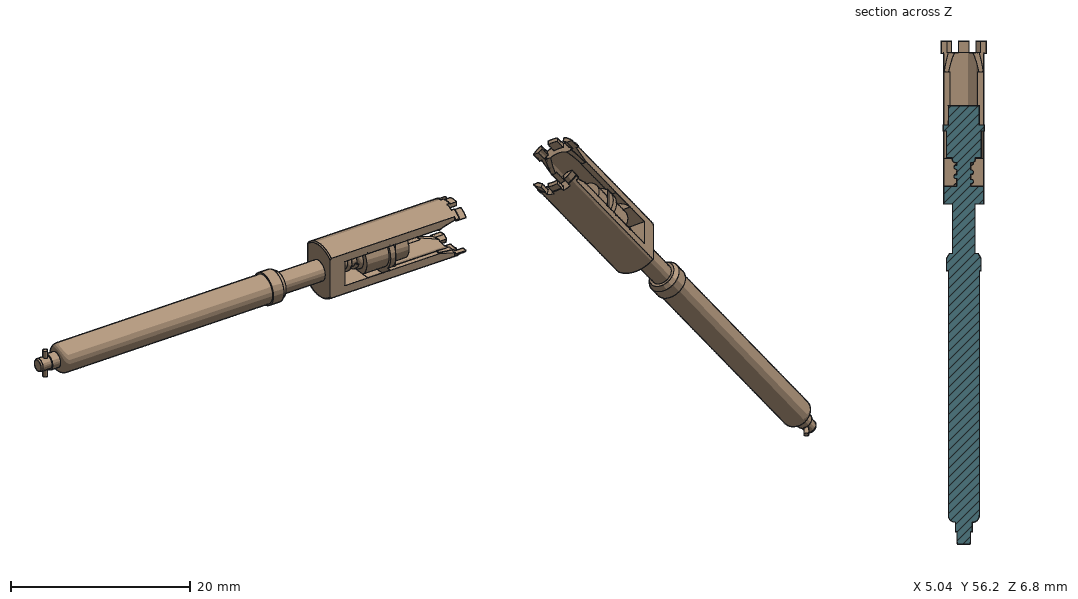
import cadquery as cq

OVERALL_LENGTH = 56.2

TIP_RADIUS = 0.78
TIP_CHAMFER_LENGTH = 0.22
TIP_CHAMFER_DEPTH = 0.1
CROSS_PIN_RADIUS = 0.28
CROSS_PIN_LENGTH = 3.3
CROSS_PIN_Y = 1.02
NECK_RADIUS = 0.95
NECK_START_Y = 1.4

BARREL_RADIUS = 1.76
BARREL_START_Y = 2.45
BARREL_END_ROUND = 0.8
COLLAR_RADIUS = 1.95
COLLAR_START_Y = 30.55
COLLAR_END_Y = 32.5
COLLAR_CHAMFER_LENGTH = 0.55
COLLAR_CHAMFER_DEPTH = 0.35
ROD_RADIUS = 1.27

FORK_RADIUS = 3.4
FORK_WIDTH = 4.5
FORK_START_Y = 38.0
FORK_END_Y = 54.9
FORK_CHAMFER = 0.15
SLOT_HEIGHT = 3.1
SLOT_START_Y = 40.0

FLARE_START_Y = 52.75
FLARE_END_Y = 54.9
CROWN_GAP = 4.2
SLEEVE_RADIUS = 2.6
SLEEVE_BORE_RADIUS = 2.2
SLEEVE_LIP = 0.15

CROWN_WIDTH = 5.04
CROWN_START_Y = 54.8
CROWN_STEP_Y = 55.3
CROWN_TIP_RADIUS = 3.3
CROWN_BORE_RADIUS = 2.8
CENTRE_CLAW_WIDTH = 1.2
NOTCH_INNER_WIDTH = 0.65
NOTCH_OUTER_WIDTH = 1.0

PLUNGER_FRONT_RADIUS = 1.75
PLUNGER_FRONT_END_Y = 49.0
WEB_WIDTH = 2 * PLUNGER_FRONT_RADIUS
WEB_START_Y = 46.85
WEB_END_Y = 47.17
FLANGE_RADIUS = 2.3
FLANGE_START_Y = 46.15
PLUNGER_RADIUS = 1.97
PLUNGER_START_Y = 43.15
PLUNGER_BOSS_RADIUS = 1.3
PLUNGER_BOSS_START_Y = 42.6
PLUNGER_BOSS_ROUND = 0.4
SPRING_CHAMBER_RADIUS = 2.7
SPRING_CHAMBER_START_Y = 43.1

SPRING_CORE_RADIUS = 0.8
SPRING_WIRE_RADIUS = 0.25
SPRING_COIL_RADIUS = 0.86
SPRING_PITCH = 1.05


def cylinder(radius, start, end):
    """Cylinder on the Y axis from start to end."""
    return cq.Workplane("XZ", origin=(0, start, 0)).circle(radius).extrude(start - end)


def box(width, start, end, height):
    """Box spanning start to end in Y, centred on the Y axis."""
    middle = (start + end) / 2
    return cq.Workplane("XY", origin=(0, middle, 0)).box(width, end - start, height)


def make_tip():
    tip = cylinder(TIP_RADIUS, 0, NECK_START_Y)
    tip = tip.faces("<Y").chamfer(TIP_CHAMFER_LENGTH, TIP_CHAMFER_DEPTH)
    pin = cq.Workplane("XY", origin=(0, CROSS_PIN_Y, 0)).circle(CROSS_PIN_RADIUS)
    pin = pin.extrude(CROSS_PIN_LENGTH / 2, both=True)
    neck = cylinder(NECK_RADIUS, NECK_START_Y, BARREL_START_Y)
    return tip.union(pin).union(neck)


def make_barrel():
    barrel = cylinder(BARREL_RADIUS, BARREL_START_Y, COLLAR_START_Y)
    barrel = barrel.faces("<Y").edges().fillet(BARREL_END_ROUND)
    collar = cylinder(COLLAR_RADIUS, COLLAR_START_Y, COLLAR_END_Y)
    collar = collar.faces(">Y").chamfer(COLLAR_CHAMFER_LENGTH, COLLAR_CHAMFER_DEPTH)
    rod = cylinder(ROD_RADIUS, COLLAR_END_Y, FORK_START_Y)
    return barrel.union(collar).union(rod)


def make_fork():
    bar = cylinder(FORK_RADIUS, FORK_START_Y, FORK_END_Y).faces("<Y").chamfer(FORK_CHAMFER)
    bar = bar.intersect(box(FORK_WIDTH, FORK_START_Y, FORK_END_Y, 2 * FORK_RADIUS))
    fork = bar.union(make_crown()).cut(make_slot(0))
    fork = fork.cut(cylinder(CROWN_BORE_RADIUS, FORK_END_Y, OVERALL_LENGTH))
    fork = fork.cut(cylinder(SLEEVE_BORE_RADIUS, WEB_END_Y, OVERALL_LENGTH))
    fork = fork.cut(cylinder(SPRING_CHAMBER_RADIUS, SPRING_CHAMBER_START_Y, FLANGE_START_Y))
    return fork.union(make_sleeve_lip())


def make_sleeve_lip():
    """Arc-shaped lips of the sleeve, standing slightly proud of the flared slot walls."""
    lip = cylinder(SLEEVE_RADIUS, FLARE_START_Y, FLARE_END_Y)
    lip = lip.cut(cylinder(SLEEVE_BORE_RADIUS, FLARE_START_Y, FLARE_END_Y))
    lip = lip.intersect(box(FORK_WIDTH, FLARE_START_Y, FLARE_END_Y, 2 * SLEEVE_RADIUS))
    return lip.cut(make_slot(SLEEVE_LIP))


def make_crown():
    base = cylinder(FORK_RADIUS, CROWN_START_Y, CROWN_STEP_Y)
    crown = base.union(cylinder(CROWN_TIP_RADIUS, CROWN_STEP_Y, OVERALL_LENGTH))
    crown = crown.intersect(box(CROWN_WIDTH, CROWN_START_Y, OVERALL_LENGTH, 2 * FORK_RADIUS))
    crown = crown.cut(box(CROWN_WIDTH, CROWN_START_Y, OVERALL_LENGTH, CROWN_GAP))
    inner_x = CENTRE_CLAW_WIDTH / 2
    notch_floor = CROWN_GAP / 2
    for side in (-1, 1):
        for up in (-1, 1):
            notch_outline = [
                (side * inner_x, 0),
                (side * inner_x, up * FORK_RADIUS),
                (side * (inner_x + NOTCH_OUTER_WIDTH), up * FORK_RADIUS),
                (side * (inner_x + NOTCH_INNER_WIDTH), up * notch_floor),
                (side * (inner_x + NOTCH_INNER_WIDTH), 0),
            ]
            notch = cq.Workplane("XZ", origin=(0, FORK_END_Y, 0)).polyline(notch_outline).close()
            crown = crown.cut(notch.extrude(FORK_END_Y - OVERALL_LENGTH))
    return crown


def make_slot(lip):
    """Flared slot through the fork along X, narrowed by lip on both walls."""
    half_slot = SLOT_HEIGHT / 2 - lip
    half_gap = CROWN_GAP / 2 - lip
    outline = [
        (SLOT_START_Y, half_slot),
        (FLARE_START_Y, half_slot),
        (FLARE_END_Y, half_gap),
        (OVERALL_LENGTH, half_gap),
        (OVERALL_LENGTH, -half_gap),
        (FLARE_END_Y, -half_gap),
        (FLARE_START_Y, -half_slot),
        (SLOT_START_Y, -half_slot),
    ]
    return cq.Workplane("YZ").polyline(outline).close().extrude(CROWN_WIDTH, both=True)


def make_plunger():
    front = cylinder(PLUNGER_FRONT_RADIUS, WEB_START_Y, PLUNGER_FRONT_END_Y)
    web = box(WEB_WIDTH, WEB_START_Y, WEB_END_Y, SLOT_HEIGHT)
    flange = cylinder(FLANGE_RADIUS, FLANGE_START_Y, WEB_START_Y)
    body = cylinder(PLUNGER_RADIUS, PLUNGER_START_Y, FLANGE_START_Y)
    boss = cylinder(PLUNGER_BOSS_RADIUS, PLUNGER_BOSS_START_Y, PLUNGER_START_Y)
    boss = boss.faces("<Y").edges().fillet(PLUNGER_BOSS_ROUND)
    return front.union(web).union(flange).union(body).union(boss)


def make_spring():
    """Round wire wound on a solid core between the slot floor and the plunger."""
    length = PLUNGER_BOSS_START_Y - SLOT_START_Y
    core = cylinder(SPRING_CORE_RADIUS, SLOT_START_Y, PLUNGER_BOSS_START_Y)
    helix = cq.Wire.makeHelix(SPRING_PITCH, length, SPRING_COIL_RADIUS, lefthand=True)
    section = cq.Workplane("XZ", origin=(SPRING_COIL_RADIUS, 0, 0)).circle(SPRING_WIRE_RADIUS)
    coil = section.sweep(cq.Workplane(helix), isFrenet=True)
    coil = coil.rotate((0, 0, 0), (1, 0, 0), -90).rotate((0, 0, 0), (0, 1, 0), 180)
    coil = coil.translate((0, SLOT_START_Y, 0))
    return core.union(coil)


result = make_fork().union(make_spring()).union(make_plunger()).union(make_barrel()).union(make_tip())